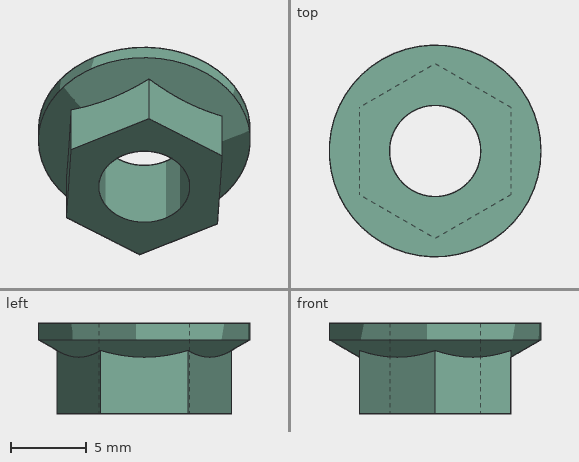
import cadquery as cq
import math

flange_diameter = 14.0
height = 6.0
bore_diameter = 6.0
across_flats = 10.0
rim_thickness = 1.1
cone_angle = 30.0

flange_radius = flange_diameter / 2
flat_radius = across_flats / 2
corner_diameter = across_flats / math.cos(math.radians(30))
rim_bottom = height - rim_thickness
cone_drop = (flange_radius - flat_radius) * math.tan(math.radians(cone_angle))


def make_hexagon():
    """Full-height hexagonal prism with flats facing +X and -X."""
    prism = cq.Workplane("XY").polygon(6, corner_diameter).extrude(height)
    return prism.rotate((0, 0, 0), (0, 0, 1), 30)


def make_flange():
    """Cylindrical rim whose conical underside narrows to the hexagon flats."""
    profile = [
        (0, height),
        (flange_radius, height),
        (flange_radius, rim_bottom),
        (flat_radius, rim_bottom - cone_drop),
        (0, rim_bottom - cone_drop),
    ]
    return cq.Workplane("XZ").polyline(profile).close().revolve(360, (0, 0, 0), (0, 1, 0))


bore = cq.Workplane("XY").circle(bore_diameter / 2).extrude(height)

result = make_hexagon().union(make_flange()).cut(bore)